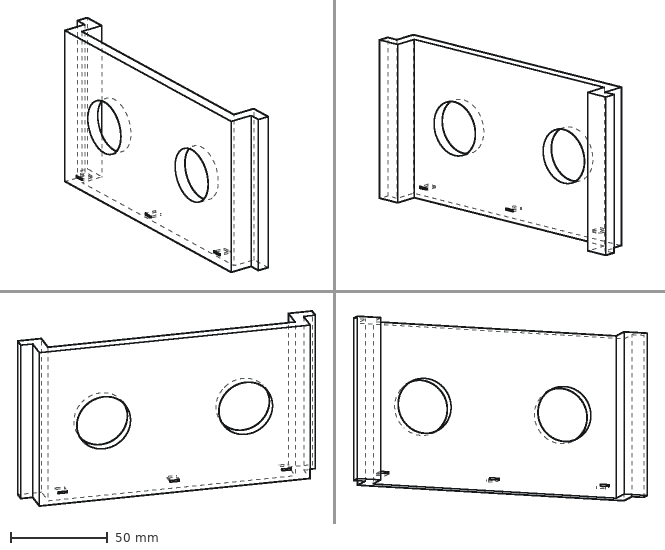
import cadquery as cq

length = 158.0
depth = 19.1
height = 85.2

wall = depth / 3

hole_diameter = 28.8
hole_spacing = 76.2

slot_length = 4.9
slot_height = 1.0
slot_spacing = 60.0
slot_count = 3
slot_center_height = wall

half_length = length / 2
outer_wall_x = half_length - wall
inner_wall_x = outer_wall_x - wall


def channel_body():
    """Hat-shaped section in XY, front face at y = 0, extruded upward."""
    right_half = [
        (outer_wall_x, 0),
        (outer_wall_x, depth - wall),
        (half_length, depth - wall),
        (half_length, depth),
        (inner_wall_x, depth),
        (inner_wall_x, wall),
    ]
    left_half = [(-x, y) for x, y in reversed(right_half)]
    return cq.Workplane("XY").polyline(right_half + left_half).close().extrude(height)


def round_openings():
    """Two cylinders passing through the front plate."""
    centers = [(side * hole_spacing / 2, height / 2) for side in (-1, 1)]
    return cq.Workplane("XZ").pushPoints(centers).circle(hole_diameter / 2).extrude(-wall)


def bottom_slots():
    """A row of small rectangular slots passing through the front plate."""
    middle = (slot_count - 1) / 2
    centers = [((i - middle) * slot_spacing, slot_center_height) for i in range(slot_count)]
    return cq.Workplane("XZ").pushPoints(centers).rect(slot_length, slot_height).extrude(-wall)


result = channel_body().cut(round_openings()).cut(bottom_slots())